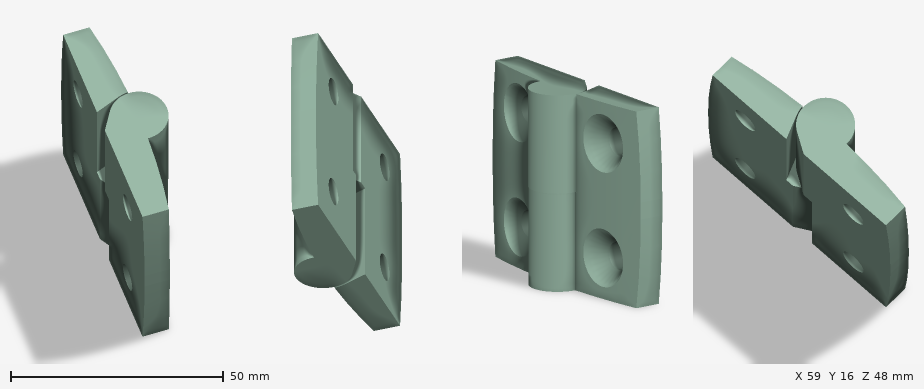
import cadquery as cq
import math

width = 59.0
depth = 16.0
height = 48.0
half_width = width / 2
half_height = height / 2

end_thickness = 6.3
crown_thickness = 8.95
end_bulge = 1.4
end_flat = 4.15

upper_radius = 6.95
lower_radius = 6.85
axis_y = depth - upper_radius
upper_corner_x = 1.4
lower_corner_x = 2.05
recess_radius = 7.25
recess_corner_x = 4.2

hole_diameter = 6.6
sink_diameter = 14.05
sink_angle = 90.0
hole_x = 17.5
hole_z = 14.0


def crown_radius():
    """Radius of the crowned back, peaking above the hinge axis."""
    drop = crown_thickness - end_thickness
    return (half_width**2 + drop**2) / (2 * drop)


def crown_y(x):
    """Height of the crowned back at a distance x from the hinge axis."""
    radius = crown_radius()
    return crown_thickness - radius + math.sqrt(radius**2 - x**2)


def neck_point(radius):
    """Point on +X where a circle round the hinge axis crosses the crowned back."""
    crown_center_y = crown_thickness - crown_radius()
    spacing = axis_y - crown_center_y
    offset = (crown_radius()**2 - radius**2 - spacing**2) / (2 * spacing)
    return math.sqrt(radius**2 - offset**2), axis_y + offset


def tangent_point(corner_x, radius, side):
    """Point where a line from (corner_x, 0) touches a circle round the axis, on the given X side."""
    distance = math.hypot(corner_x, axis_y)
    to_corner = math.atan2(-axis_y, corner_x)
    angle = to_corner + side * math.acos(radius / distance)
    return radius * math.cos(angle), axis_y + radius * math.sin(angle)


def extrude_along_z(profile, z_start, z_end):
    """Extrude an XY profile from z_start to z_end."""
    return profile.extrude(z_end - z_start).translate((0, 0, z_start))


def plate_section(inner_x, inner_top):
    """Open plate section from inner_x on the mounting face, round the end, back to inner_top."""
    middle_x = half_width / 2
    return (
        cq.Workplane("XY")
        .moveTo(inner_x, 0)
        .lineTo(half_width, 0)
        .lineTo(half_width, end_thickness)
        .threePointArc((middle_x, crown_y(middle_x)), inner_top)
    )


def bowed_outline():
    """Front outline of the plate: two arcs tangent to a short flat make the bowed end."""
    flat_z = end_flat / 2
    corner_x = half_width - end_bulge
    rise = half_height - flat_z
    radius = (rise**2 + end_bulge**2) / (2 * end_bulge)
    middle_rise = rise / 2
    middle_x = half_width - radius + math.sqrt(radius**2 - middle_rise**2)
    middle_z = flat_z + middle_rise
    return (
        cq.Workplane("XZ")
        .moveTo(0, -half_height)
        .lineTo(corner_x, -half_height)
        .threePointArc((middle_x, -middle_z), (half_width, -flat_z))
        .lineTo(half_width, flat_z)
        .threePointArc((middle_x, middle_z), (corner_x, half_height))
        .lineTo(0, half_height)
        .close()
        .extrude(-depth)
    )


def knuckle_half(radius, corner_x):
    """Upper half: plate running into a round knuckle with a flat flank below it."""
    profile = (
        plate_section(corner_x, neck_point(radius))
        .threePointArc((0, axis_y + radius), tangent_point(corner_x, radius, -1))
        .close()
    )
    return extrude_along_z(profile, 0, half_height)


def recess_half():
    """Lower half: plate cut back to clear the other leaf's knuckle."""
    top_x, top_y = neck_point(recess_radius)
    touch_x, touch_y = tangent_point(recess_corner_x, recess_radius, 1)
    middle_angle = (math.atan2(top_y - axis_y, top_x) + math.atan2(touch_y - axis_y, touch_x)) / 2
    middle = (
        recess_radius * math.cos(middle_angle),
        axis_y + recess_radius * math.sin(middle_angle),
    )
    profile = (
        plate_section(recess_corner_x, (top_x, top_y))
        .threePointArc(middle, (touch_x, touch_y))
        .close()
    )
    return extrude_along_z(profile, -half_height, 0)


def screw_holes():
    """Two through holes, countersunk from the crowned back."""
    cone_slope = math.tan(math.radians(sink_angle / 2))
    hole_radius = hole_diameter / 2
    sink_depth = (sink_diameter / 2 - hole_radius) / cone_slope
    sink_bottom = crown_y(hole_x) - sink_depth
    cone_end_radius = hole_radius + (crown_thickness - sink_bottom) * cone_slope
    cutter = (
        cq.Workplane("XY")
        .lineTo(hole_radius, 0)
        .lineTo(hole_radius, sink_bottom)
        .lineTo(cone_end_radius, crown_thickness)
        .lineTo(0, crown_thickness)
        .close()
        .revolve(360, (0, 0), (0, 1))
    )
    return cutter.translate((hole_x, 0, hole_z)).union(cutter.translate((hole_x, 0, -hole_z)))


def end_trim():
    """Material outside the bowed end of the plate."""
    block = cq.Workplane("XY").box(half_width, depth, height, centered=(False, False, True))
    return block.cut(bowed_outline())


def leaf(radius, corner_x):
    """Leaf reaching out to +X, with its knuckle in the upper half."""
    blank = knuckle_half(radius, corner_x).union(recess_half())
    return blank.cut(end_trim()).cut(screw_holes())


right_leaf = leaf(upper_radius, upper_corner_x)
left_leaf = leaf(lower_radius, lower_corner_x).rotate((0, 0, 0), (0, 1, 0), 180)

result = cq.Compound.makeCompound([right_leaf.solids().val(), left_leaf.solids().val()])